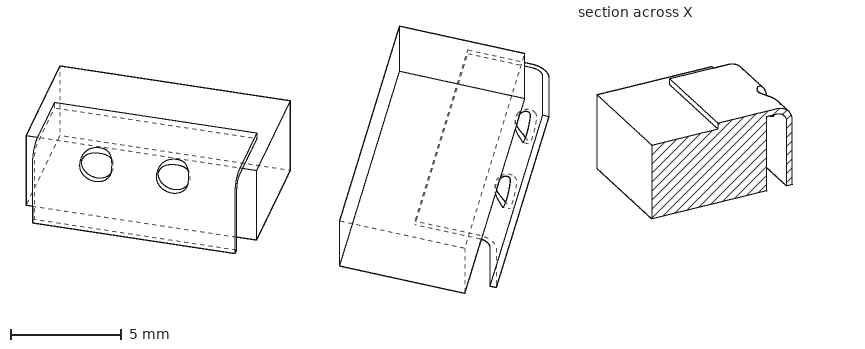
import cadquery as cq
import math

BLOCK_WIDTH = 10.8
TOTAL_DEPTH = 7.16
TOTAL_HEIGHT = 4.1

BLOCK_DEPTH = 5.85

PLATE_WIDTH = 9.48
PLATE_DEPTH = 3.8
PLATE_THICKNESS = 0.3
BEND_OUTER_RADIUS = 0.8
BEND_INNER_RADIUS = BEND_OUTER_RADIUS - PLATE_THICKNESS
BEND_AXIS_Y = BEND_OUTER_RADIUS
BEND_AXIS_Z = TOTAL_HEIGHT - BEND_OUTER_RADIUS
BLOCK_HEIGHT = TOTAL_HEIGHT - PLATE_THICKNESS

HOLE_RADIUS = 0.75
HOLE_SPACING = 3.6
NEUTRAL_FACTOR = 0.4
NEUTRAL_RADIUS = BEND_INNER_RADIUS + NEUTRAL_FACTOR * PLATE_THICKNESS
BEND_LENGTH = NEUTRAL_RADIUS * math.pi / 2
HOLE_CENTER_Z = BEND_AXIS_Z + BEND_LENGTH - HOLE_RADIUS

TOOL_INNER_RADIUS = BEND_INNER_RADIUS / 2
TOOL_OUTER_RADIUS = BEND_OUTER_RADIUS * 1.5

RIM_STEPS = 24


def make_block():
    return (
        cq.Workplane("XY")
        .box(BLOCK_WIDTH, BLOCK_DEPTH, BLOCK_HEIGHT, centered=(True, False, False))
        .translate((0, TOTAL_DEPTH - BLOCK_DEPTH, 0))
    )


def make_plate():
    """L-shaped plate profile in the YZ plane, extruded across X."""
    diagonal = math.sqrt(0.5)
    outer_mid = (
        BEND_AXIS_Y - BEND_OUTER_RADIUS * diagonal,
        BEND_AXIS_Z + BEND_OUTER_RADIUS * diagonal,
    )
    inner_mid = (
        BEND_AXIS_Y - BEND_INNER_RADIUS * diagonal,
        BEND_AXIS_Z + BEND_INNER_RADIUS * diagonal,
    )
    return (
        cq.Workplane("YZ")
        .moveTo(0, 0)
        .lineTo(0, BEND_AXIS_Z)
        .threePointArc(outer_mid, (BEND_AXIS_Y, TOTAL_HEIGHT))
        .lineTo(PLATE_DEPTH, TOTAL_HEIGHT)
        .lineTo(PLATE_DEPTH, BLOCK_HEIGHT)
        .lineTo(BEND_AXIS_Y, BLOCK_HEIGHT)
        .threePointArc(inner_mid, (PLATE_THICKNESS, BEND_AXIS_Z))
        .lineTo(PLATE_THICKNESS, 0)
        .close()
        .extrude(PLATE_WIDTH / 2, both=True)
    )


def wrapped_rim(radius):
    """Part of the hole circle above the lower bend line, wrapped around the bend axis."""
    half_sweep = math.acos((BEND_AXIS_Z - HOLE_CENTER_Z) / HOLE_RADIUS)
    points = []
    parameters = []
    for step in range(RIM_STEPS + 1):
        turn = half_sweep * (2 * step / RIM_STEPS - 1)
        height = HOLE_CENTER_Z + HOLE_RADIUS * math.cos(turn) - BEND_AXIS_Z
        bend_angle = height / NEUTRAL_RADIUS
        points.append(
            cq.Vector(
                HOLE_RADIUS * math.sin(turn),
                BEND_AXIS_Y - radius * math.cos(bend_angle),
                BEND_AXIS_Z + radius * math.sin(bend_angle),
            )
        )
        parameters.append(turn)
    return cq.Edge.makeSpline(points, parameters=parameters)


def make_bend_hole_tool():
    """Solid with radial walls that opens the hole within the bend."""
    inner_rim = wrapped_rim(TOOL_INNER_RADIUS)
    outer_rim = wrapped_rim(TOOL_OUTER_RADIUS)
    inner_line = cq.Edge.makeLine(inner_rim.endPoint(), inner_rim.startPoint())
    outer_line = cq.Edge.makeLine(outer_rim.endPoint(), outer_rim.startPoint())
    faces = [
        cq.Face.makeRuledSurface(inner_rim, outer_rim),
        cq.Face.makeRuledSurface(inner_line, outer_line),
        cq.Face.makeNSidedSurface([inner_rim, inner_line], []),
        cq.Face.makeNSidedSurface([outer_rim, outer_line], []),
    ]
    return cq.Workplane(obj=cq.Solid.makeSolid(cq.Shell.makeShell(faces)))


def make_flat_hole_tool():
    """Part of the hole below the lower bend line, straight through the upright leg."""
    cylinder = (
        cq.Workplane("XZ")
        .center(0, HOLE_CENTER_Z)
        .circle(HOLE_RADIUS)
        .extrude(BEND_INNER_RADIUS, both=True)
    )
    below_bend = cq.Workplane("XY").box(
        BLOCK_WIDTH, TOTAL_DEPTH, BEND_AXIS_Z, centered=(True, True, False)
    )
    return cylinder.intersect(below_bend)


plate = make_plate()
for hole_x in (-HOLE_SPACING / 2, HOLE_SPACING / 2):
    for tool in (make_flat_hole_tool(), make_bend_hole_tool()):
        plate = plate.cut(tool.translate((hole_x, 0, 0)))

result = make_block().union(plate)